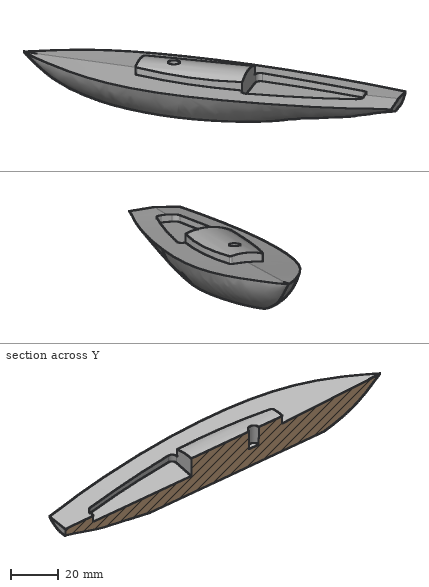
import cadquery as cq

length = 164
beam = 46.4
height = 19.5
half_beam = beam / 2

bow_half_width = 0.08
stations = [
    (0, bow_half_width, 17.7, 17.9, 17.5),
    (5, 3.6, 17.2, 17.4, 13.0),
    (13.1, 8.5, 16.7, 17.0, 6.7),
    (27.9, 15.5, 15.7, 16.4, 0.5),
    (47.5, 21.0, 14.6, 15.5, -4.0),
    (73.8, half_beam, 13.6, 14.8, -7.5),
    (98.4, 22.3, 13.1, 14.1, -5),
    (123, 19.5, 12.6, 13.5, 0.7),
    (147.6, 15.1, 12.3, 13.1, 4.6),
    (length, 11.3, 12.1, 13.0, 9.2),
]
side_bulge = 0.12

cabin_front = 50.8
cabin_back = 98.4
cabin_widest = 78.7
cabin_front_half = 7.4
cabin_half = 10.7
cabin_back_half = 10.2
cabin_corner_radius = 1.0
cabin_roof_radius = 25.9

mast_x = 65.8
mast_diameter = 5
mast_hole_floor = 9.8

cockpit_back = 149.2
cockpit_front_half = 13.1
cockpit_middle_x = 123
cockpit_middle_half = 9.8
cockpit_back_half = 4.8
cockpit_front_radius = 2.3
cockpit_back_radius = 3.0
cockpit_floor = 9.8


def hull_section(x, half_width, sheer, ridge, keel):
    """Closed cross-section with a peaked deck and two bulging sides meeting at the keel."""
    rise = sheer - keel
    side_y = half_width / 2 + side_bulge * rise
    side_z = (sheer + keel) / 2 - side_bulge * half_width
    return (
        cq.Workplane("YZ", origin=(x, 0, 0))
        .moveTo(0, ridge)
        .lineTo(half_width, sheer)
        .threePointArc((side_y, side_z), (0, keel))
        .threePointArc((-side_y, side_z), (-half_width, sheer))
        .close()
        .wires()
        .val()
    )


def make_hull():
    sections = [hull_section(*station) for station in stations]
    hull = cq.Workplane(cq.Solid.makeLoft(sections))
    above_bottom = cq.Workplane().box(2 * length, 2 * beam, 2 * height, centered=(True, True, False))
    return hull.intersect(above_bottom)


def symmetric_plan(front, front_half, middle, middle_half, back, back_half, bottom):
    """Solid of full height above bottom, with mirrored curved sides and square ends."""
    return (
        cq.Workplane(origin=(0, 0, bottom))
        .moveTo(front, -front_half)
        .threePointArc((middle, -middle_half), (back, -back_half))
        .lineTo(back, back_half)
        .threePointArc((middle, middle_half), (front, front_half))
        .close()
        .extrude(height - bottom)
    )


def make_cabin():
    block = symmetric_plan(
        cabin_front, cabin_front_half, cabin_widest, cabin_half, cabin_back, cabin_back_half, cockpit_floor
    )
    block = block.edges("|Z and <X").fillet(cabin_corner_radius)
    roof = (
        cq.Workplane("YZ")
        .center(0, height - cabin_roof_radius)
        .circle(cabin_roof_radius)
        .extrude(length)
    )
    return block.intersect(roof)


def make_cockpit():
    pocket = symmetric_plan(
        cabin_back, cockpit_front_half, cockpit_middle_x, cockpit_middle_half,
        cockpit_back, cockpit_back_half, cockpit_floor,
    )
    pocket = pocket.edges("|Z and <X").fillet(cockpit_front_radius)
    return pocket.edges("|Z and >X").fillet(cockpit_back_radius)


mast_hole = (
    cq.Workplane(origin=(mast_x, 0, mast_hole_floor))
    .circle(mast_diameter / 2)
    .extrude(height)
)

result = make_hull().union(make_cabin()).cut(make_cockpit()).cut(mast_hole)